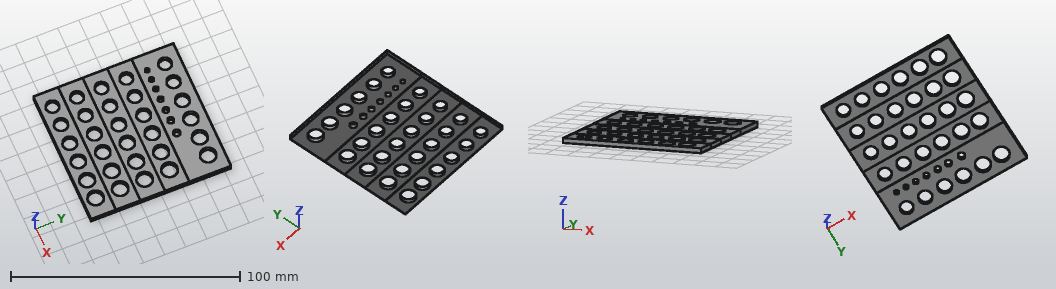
import cadquery as cq

plate_length = 64.87
total_width = 66.36
left_x = -plate_length / 2
back_y = total_width / 2
front_y = -total_width / 2

wide_plate_width = 19.78
wide_plate_thickness = 2.5
large_row_from_back = 7.21
small_row_from_back = 15.65

wide_plate_front_gap = 0.1
strip_2_front_gap = 0.07
strip_3_front_gap = 0.13

strip_1_back_y = back_y - wide_plate_width - wide_plate_front_gap
strip_2_back_y = 1.83
strip_3_back_y = -9.88
strip_4_back_y = -21.53

strips = [
    (strip_1_back_y, strip_2_back_y, 2.4, 7.65),
    (strip_2_back_y, strip_3_back_y + strip_2_front_gap, 2.28, -4.14),
    (strip_3_back_y, strip_4_back_y + strip_3_front_gap, 2.2, -15.73),
    (strip_4_back_y, front_y, 2.2, -27.36),
]

large_holes = [
    (6.0, 7.75),
    (6.25, 17.27),
    (6.5, 27.14),
    (6.75, 36.73),
    (7.0, 46.68),
    (7.25, 56.08),
]

small_holes = [
    (2.0, 7.68),
    (2.2, 12.52),
    (2.4, 17.5),
    (2.6, 22.87),
    (2.8, 28.65),
    (3.0, 34.13),
    (3.2, 40.81),
]


def make_plate(plate_back_y, plate_front_y, thickness):
    """Plain rectangular plate between two Y edges, spanning the full length."""
    width = plate_back_y - plate_front_y
    plate = cq.Workplane("XY").box(plate_length, width, thickness, centered=False)
    return plate.translate((left_x, plate_front_y, 0))


def drill_row(plate, holes, row_y, thickness):
    """Cut a row of graduated through holes along X."""
    for diameter, from_left in holes:
        drill = cq.Workplane("XY").center(left_x + from_left, row_y).circle(diameter / 2).extrude(thickness)
        plate = plate.cut(drill)
    return plate


def make_wide_plate():
    """Back plate with a row of large holes and a row of small holes."""
    plate = make_plate(back_y, back_y - wide_plate_width, wide_plate_thickness)
    plate = drill_row(plate, large_holes, back_y - large_row_from_back, wide_plate_thickness)
    return drill_row(plate, small_holes, back_y - small_row_from_back, wide_plate_thickness)


def make_strip(strip_back_y, strip_front_y, thickness, row_y):
    """Narrow plate with a single row of large holes."""
    strip = make_plate(strip_back_y, strip_front_y, thickness)
    return drill_row(strip, large_holes, row_y, thickness)


wide_plate = make_wide_plate()
strip_solids = []
for strip_back_y, strip_front_y, thickness, row_y in strips:
    strip = make_strip(strip_back_y, strip_front_y, thickness, row_y)
    strip_solids.append(strip.solids().val())

result = cq.Compound.makeCompound([wide_plate.solids().val(), *strip_solids])